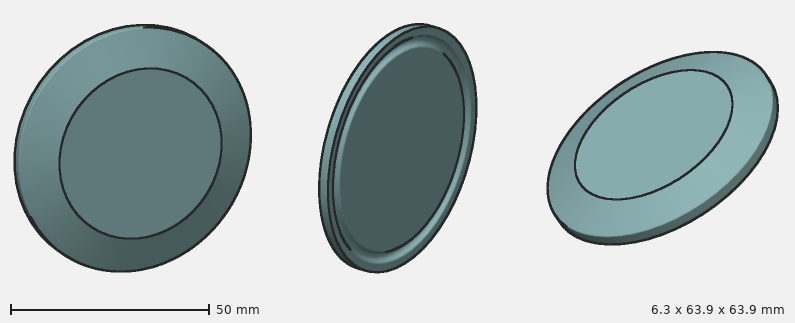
import cadquery as cq
import math

rim_radius = 31.95
thickness = 6.3

back_angle = math.radians(20)
rim_corner_x = 2.8
rim_rounding = 0.45

groove_center_radius = 28.2
groove_half_width = 1.8
groove_bottom_radius = 1.2
groove_wall_angle = math.radians(65)
wall_length = 0.5


def make_disc():
    """Flanged disc with a conical back face."""
    back_radius = rim_radius - (thickness - rim_corner_x) / math.tan(back_angle)
    disc = (
        cq.Workplane("XY")
        .polyline([
            (0, 0),
            (0, rim_radius),
            (rim_corner_x, rim_radius),
            (thickness, back_radius),
            (thickness, 0),
        ])
        .close()
        .revolve(360, (0, 0, 0), (1, 0, 0))
    )
    rim_corner = cq.NearestToPointSelector((rim_corner_x, 0, 0))
    return disc.edges(rim_corner).fillet(rim_rounding)


def make_groove():
    """Ring to remove: on each side a lip arc and a straight wall, joined by the bottom arc."""
    wall_run = wall_length * math.cos(groove_wall_angle)
    wall_drop = wall_length * math.sin(groove_wall_angle)
    arc_rise = 1 - math.cos(groove_wall_angle)

    bottom_half_width = groove_bottom_radius * math.sin(groove_wall_angle)
    lip_width = groove_half_width - bottom_half_width - wall_run
    lip_radius = lip_width / math.sin(groove_wall_angle)

    wall_top_x = lip_radius * arc_rise
    wall_bottom_x = wall_top_x + wall_drop
    depth = wall_bottom_x + groove_bottom_radius * arc_rise
    wall_top_offset = bottom_half_width + wall_run

    lip_mid_x = lip_radius * (1 - math.cos(groove_wall_angle / 2))
    lip_mid_offset = groove_half_width - lip_radius * math.sin(groove_wall_angle / 2)

    def at(x, offset):
        """Profile point at depth x, offset radially from the groove's center circle."""
        return (x, groove_center_radius + offset)

    return (
        cq.Workplane("XY")
        .moveTo(*at(0, -groove_half_width))
        .threePointArc(at(lip_mid_x, -lip_mid_offset), at(wall_top_x, -wall_top_offset))
        .lineTo(*at(wall_bottom_x, -bottom_half_width))
        .threePointArc(at(depth, 0), at(wall_bottom_x, bottom_half_width))
        .lineTo(*at(wall_top_x, wall_top_offset))
        .threePointArc(at(lip_mid_x, lip_mid_offset), at(0, groove_half_width))
        .close()
        .revolve(360, (0, 0, 0), (1, 0, 0))
    )


result = make_disc().cut(make_groove())